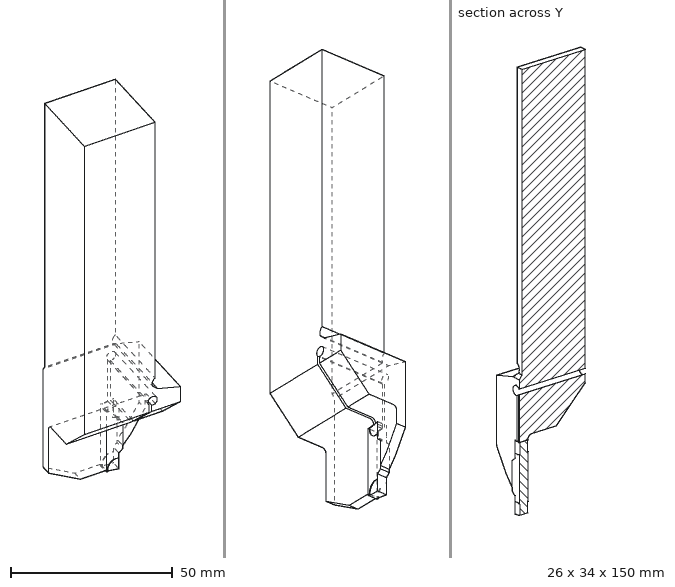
import cadquery as cq

length = 150.0
shank_side = 25.0
blade_offset = 1.0
overall_width = shank_side + blade_offset

head_depth = 34.0
head_bottom = 1.0
shoulder_z = 45.9
shoulder_rise = 1.4
blade_thickness = 3.6
blade_top = 26.4
blade_fillet = 1.5
side_slope_top = 37.8
side_slope_x = 14.7
front_slope_y = 11.2
front_slope_top = 7.6

jaw_top = 43.6
jaw_back_end = 20.1
jaw_bend_y = 29.2
jaw_bend_z = 12.2
jaw_end = 8.5

groove_top = 50.4
groove_floor_y = 24.0
groove_floor_z = 48.6
groove_end_y = 24.3
groove_end_z = 47.4
shoulder_y = 26.0

slot_front = 23.0
slot_back = 23.8
hole_y = 24.2
hole_z = 41.8
hole_radius = 1.6

seat_y = 20.4
rake_y = 24.9
insert_length = 24.9
rib_y = 26.2
rib_half_length = 5.1
rib_bevel = 1.2
end_clearance = 0.5
relief_length = 4.4
relief_depth = 0.3
relief_front_gap = 0.6
relief_arc_run = 2.2
insert_middle = insert_length / 2


def insert_blank():
    """Double-ended insert with a raised rib between its two cutting tips."""
    rib_low = insert_middle - rib_half_length
    rib_high = insert_middle + rib_half_length
    return (
        cq.Workplane("YZ")
        .moveTo(seat_y, end_clearance)
        .lineTo(rake_y, 0)
        .lineTo(rake_y, rib_low - rib_bevel)
        .lineTo(rib_y, rib_low)
        .lineTo(rib_y, rib_high)
        .lineTo(rake_y, rib_high + rib_bevel)
        .lineTo(rake_y, insert_length)
        .lineTo(seat_y, insert_length - end_clearance)
        .close()
        .extrude(blade_thickness)
    )


def side_relief():
    """Wedge that thins one side of the lower tip from the rake face towards the seat."""
    front = seat_y + relief_front_gap
    bend_run = 1 / 3
    bend_rise = 3 / 4
    arc_end_y = front + relief_arc_run
    outline = (
        cq.Workplane("YZ")
        .moveTo(front, 0)
        .threePointArc((front + relief_arc_run * bend_run, relief_length * bend_rise), (arc_end_y, relief_length))
        .lineTo(rake_y, relief_length)
        .lineTo(rake_y, 0)
        .close()
        .extrude(relief_depth)
    )
    taper = (
        cq.Workplane("XY")
        .moveTo(0, rake_y)
        .lineTo(0, front)
        .lineTo(relief_depth, front)
        .close()
        .extrude(relief_length)
    )
    return outline.intersect(taper)


def make_insert():
    insert = insert_blank()
    low_left = side_relief()
    high_left = low_left.mirror("XY", (0, 0, insert_middle))
    for relief in (low_left, high_left):
        insert = insert.cut(relief)
        insert = insert.cut(relief.mirror("YZ", (blade_thickness / 2, 0, 0)))
    return insert


def side_profile():
    """Shank and head outline across Y, with a rounded groove behind the shoulder."""
    return (
        cq.Workplane("YZ")
        .moveTo(0, length)
        .lineTo(shank_side, length)
        .lineTo(shank_side, groove_top)
        .threePointArc((groove_floor_y, groove_floor_z), (groove_end_y, groove_end_z))
        .lineTo(shoulder_y, shoulder_z)
        .lineTo(head_depth, jaw_top)
        .lineTo(head_depth, jaw_back_end)
        .lineTo(jaw_bend_y, jaw_bend_z)
        .lineTo(rib_y, jaw_end)
        .lineTo(seat_y, jaw_end)
        .lineTo(seat_y, head_bottom)
        .lineTo(front_slope_y, head_bottom)
        .lineTo(0, front_slope_top)
        .close()
        .extrude(overall_width)
    )


def front_profile():
    """Shank, side slope and thin blade outline across X."""
    return (
        cq.Workplane("XZ")
        .moveTo(blade_offset, length)
        .lineTo(overall_width, length)
        .lineTo(overall_width, side_slope_top)
        .lineTo(side_slope_x, blade_top)
        .lineTo(blade_thickness + blade_fillet, blade_top)
        .radiusArc((blade_thickness, blade_top - blade_fillet), -blade_fillet)
        .lineTo(blade_thickness, 0)
        .lineTo(0, 0)
        .lineTo(0, shoulder_z)
        .lineTo(blade_offset, shoulder_z + shoulder_rise)
        .close()
        .extrude(-head_depth)
    )


def clamping_slot():
    """Narrow slot from the insert up to the relief hole at its end."""
    slot = (
        cq.Workplane("YZ")
        .moveTo(slot_front, insert_middle)
        .lineTo(slot_back, insert_middle)
        .lineTo(slot_back, hole_z)
        .lineTo(slot_front, hole_z)
        .close()
        .extrude(overall_width)
    )
    hole = cq.Workplane("YZ").center(hole_y, hole_z).circle(hole_radius).extrude(overall_width)
    return slot.union(hole)


def make_holder():
    body = side_profile().intersect(front_profile())
    return body.cut(clamping_slot()).cut(insert_blank())


holder = make_holder()
insert = make_insert()
result = cq.Compound.makeCompound([holder.val(), insert.val()])